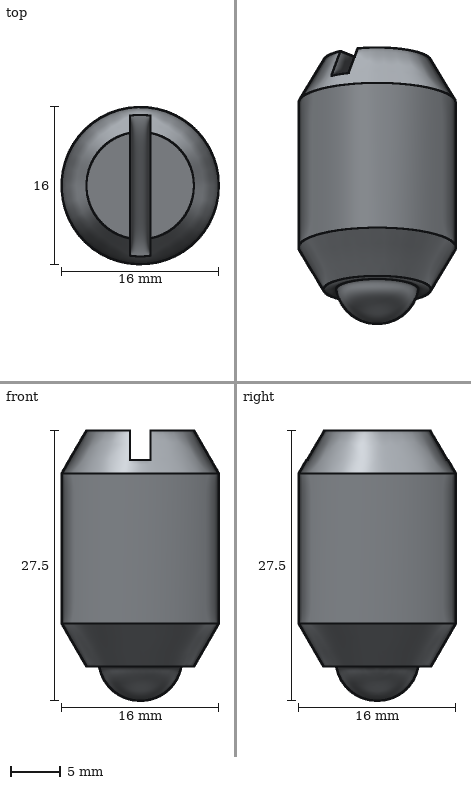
import cadquery as cq
import math

total_height = 27.5
housing_radius = 8.0
taper_height = 4.4
taper_angle = 30.0
slot_width = 2.05
slot_depth = 3.0
ball_radius = 4.25
ball_protrusion = 3.5

housing_bottom = ball_protrusion
end_radius = housing_radius - taper_height * math.tan(math.radians(taper_angle))


def make_ball():
    """Complete sphere whose lowest point is at Z = 0."""
    return cq.Workplane("XY").sphere(ball_radius).translate((0, 0, ball_radius))


def make_tapered_body():
    """Revolved cylinder with a conical taper at each end."""
    return (
        cq.Workplane("XZ")
        .moveTo(0, housing_bottom)
        .lineTo(end_radius, housing_bottom)
        .lineTo(housing_radius, housing_bottom + taper_height)
        .lineTo(housing_radius, total_height - taper_height)
        .lineTo(end_radius, total_height)
        .lineTo(0, total_height)
        .close()
        .revolve(360, (0, 0), (0, 1))
    )


def make_driver_slot():
    """Cutter for the screwdriver slot, running along Y across the top."""
    return (
        cq.Workplane("XY")
        .box(slot_width, 2 * housing_radius, slot_depth, centered=(True, True, False))
        .translate((0, 0, total_height - slot_depth))
    )


def make_housing(ball):
    """Tapered body with its driver slot and a spherical seat for the ball."""
    return make_tapered_body().cut(make_driver_slot()).cut(ball)


ball = make_ball()
housing = make_housing(ball)

result = cq.Compound.makeCompound([housing.val(), ball.val()])